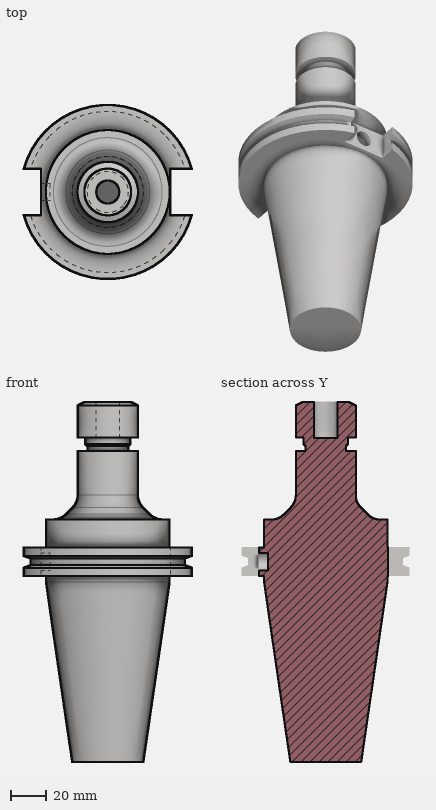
import cadquery as cq
import math

total_height = 203.2
gauge_line_z = 101.5
flange_bottom_z = 104.9
flange_top_z = 121.1
collar_top_z = 137.0
neck_top_z = 175.5
nut_bottom_z = 183.0

taper_small_radius = 20.1
collar_radius = 35.0
flange_radius = 49.2
neck_radius = 17.0
stem_radius = 11.5
ring_radius = 12.8

nut_face_radius = 13.2
nut_chamfer_height = 2.0
ring_bottom_z = 179.5
ring_chamfer = ring_radius - stem_radius
nut_bore_radius = 6.5
nut_bore_depth = total_height - nut_bottom_z

groove_floor_radius = 45.5
groove_floor_width = 3.9
groove_mouth_width = 6.7

flare_radius = 10.0
flare_foot_radius = 30.7

slot_width = 26.0
left_slot_floor = 37.8
right_slot_floor = 35.4
slot_hole_radius = 4.9
slot_hole_depth = 5.0

flange_mid_z = (flange_bottom_z + flange_top_z) / 2
flange_height = flange_top_z - flange_bottom_z


def turned_body():
    """Revolve the half profile, drawn as (radius, height), about Z."""
    long_leg = flare_radius * math.sin(math.radians(45))
    short_leg = flare_radius - long_leg
    mid_sine = flare_radius * math.sin(math.radians(22.5))
    mid_drop = flare_radius - flare_radius * math.cos(math.radians(22.5))

    cone_bottom_radius = flare_foot_radius - long_leg
    cone_bottom_z = collar_top_z + short_leg
    cone_top_radius = neck_radius + short_leg
    cone_top_z = cone_bottom_z + cone_bottom_radius - cone_top_radius
    flare_top_z = cone_top_z + long_leg

    half_mouth = groove_mouth_width / 2
    half_floor = groove_floor_width / 2

    profile = (
        cq.Workplane("XZ")
        .moveTo(0, 0)
        .lineTo(taper_small_radius, 0)
        .lineTo(collar_radius, gauge_line_z)
        .lineTo(collar_radius, flange_bottom_z)
        .lineTo(flange_radius, flange_bottom_z)
        .lineTo(flange_radius, flange_mid_z - half_mouth)
        .lineTo(groove_floor_radius, flange_mid_z - half_floor)
        .lineTo(groove_floor_radius, flange_mid_z + half_floor)
        .lineTo(flange_radius, flange_mid_z + half_mouth)
        .lineTo(flange_radius, flange_top_z)
        .lineTo(collar_radius, flange_top_z)
        .lineTo(collar_radius, collar_top_z)
        .lineTo(flare_foot_radius, collar_top_z)
        .threePointArc(
            (flare_foot_radius - mid_sine, collar_top_z + mid_drop),
            (cone_bottom_radius, cone_bottom_z),
        )
        .lineTo(cone_top_radius, cone_top_z)
        .threePointArc(
            (neck_radius + mid_drop, flare_top_z - mid_sine),
            (neck_radius, flare_top_z),
        )
        .lineTo(neck_radius, neck_top_z)
        .lineTo(stem_radius, neck_top_z)
        .lineTo(stem_radius, ring_bottom_z - ring_chamfer)
        .lineTo(ring_radius, ring_bottom_z)
        .lineTo(ring_radius, nut_bottom_z)
        .lineTo(neck_radius, nut_bottom_z)
        .lineTo(neck_radius, total_height - nut_chamfer_height)
        .lineTo(nut_face_radius, total_height)
        .lineTo(0, total_height)
        .close()
    )
    return profile.revolve(360, (0, 0, 0), (0, 1, 0))


def drive_slot(side, floor_distance):
    """Block that cuts a slot through the flange; side is -1 or +1 along X."""
    block = cq.Workplane("XY").box(flange_radius, slot_width, flange_height)
    return block.translate((side * (floor_distance + flange_radius / 2), 0, flange_mid_z))


def nut_bore():
    """Blind bore in the top face of the nut."""
    bore = cq.Workplane("XY").circle(nut_bore_radius).extrude(nut_bore_depth)
    return bore.translate((0, 0, total_height - nut_bore_depth))


def slot_hole():
    """Blind radial hole in the floor of the -X slot."""
    hole = cq.Workplane("YZ").circle(slot_hole_radius).extrude(slot_hole_depth)
    return hole.translate((-left_slot_floor, 0, flange_mid_z))


result = turned_body()
for side, floor_distance in ((-1, left_slot_floor), (1, right_slot_floor)):
    result = result.cut(drive_slot(side, floor_distance))
result = result.cut(nut_bore()).cut(slot_hole())